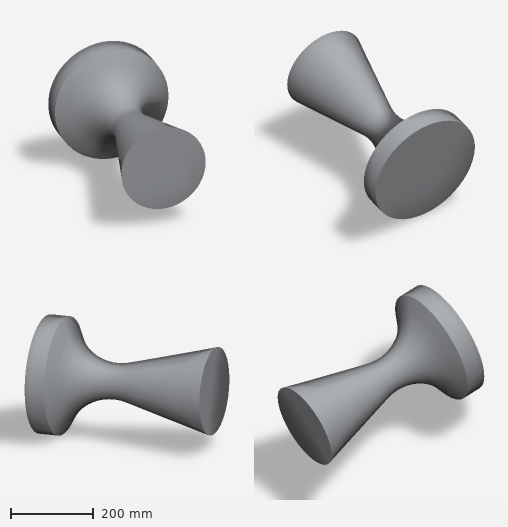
import cadquery as cq
import math

total_length = 434.5
disc_diameter = 290.0
disc_thickness = 50.0
throat_radius = 44.5
throat_arc_radius = 127.5
inlet_angle = math.radians(60)
outlet_angle = math.radians(15)

disc_radius = disc_diameter / 2


def throat_arc_height(angle):
    """Profile radius where the throat arc has turned by angle from the throat."""
    return throat_radius + throat_arc_radius * (1 - math.cos(angle))


arc_start_radius = throat_arc_height(inlet_angle)
arc_start_x = disc_thickness + (disc_radius - arc_start_radius) / math.tan(inlet_angle)
throat_x = arc_start_x + throat_arc_radius * math.sin(inlet_angle)

arc_end_x = throat_x + throat_arc_radius * math.sin(outlet_angle)
arc_end_radius = throat_arc_height(outlet_angle)
outlet_radius = arc_end_radius + (total_length - arc_end_x) * math.tan(outlet_angle)

profile = (
    cq.Workplane("XY")
    .lineTo(0, disc_radius)
    .lineTo(disc_thickness, disc_radius)
    .lineTo(arc_start_x, arc_start_radius)
    .threePointArc((throat_x, throat_radius), (arc_end_x, arc_end_radius))
    .lineTo(total_length, outlet_radius)
    .lineTo(total_length, 0)
    .close()
)
result = profile.revolve(360, (0, 0, 0), (1, 0, 0))